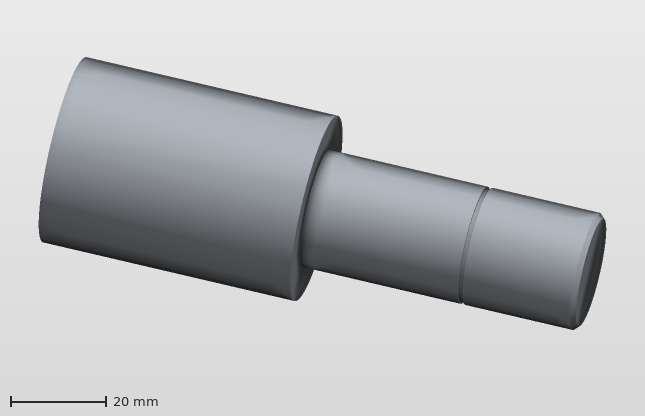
import cadquery as cq

total_length = 115.0
head_diameter = 40.0
head_length = 55.0
shank_diameter = 25.3
groove_start = 89.5
groove_width = 1.0
groove_depth = 0.5
tip_chamfer = 1.0


def cylinder_along_x(start, length, diameter):
    """Solid cylinder on the X axis, beginning at x = start."""
    return cq.Workplane("YZ", origin=(start, 0, 0)).circle(diameter / 2).extrude(length)


head = cylinder_along_x(0, head_length, head_diameter)
shank = cylinder_along_x(head_length, total_length - head_length, shank_diameter)
shank = shank.faces(">X").edges().chamfer(tip_chamfer)

groove_floor_diameter = shank_diameter - 2 * groove_depth
groove_outside = cylinder_along_x(groove_start, groove_width, head_diameter)
groove_core = cylinder_along_x(groove_start, groove_width, groove_floor_diameter)
groove = groove_outside.cut(groove_core)

result = head.union(shank).cut(groove)